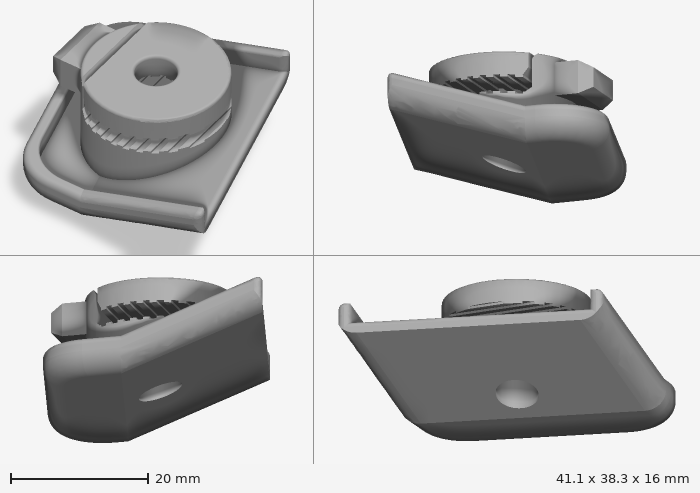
import cadquery as cq
import math

skew = math.radians(15)
tilt = math.radians(19.4)
drift = math.radians(0.86)
half_width = 19
fold_x = -5.46
left_x = fold_x - 12
right_x = 16.15
rim_height = 5.05
floor_height = 2
wall = 2
corner_radius = 8
bottom_radius = 3
outer_radius = 0.98
inner_radius = 0.4

tolerance = 0.01

post_radius = 11
bore_radius = 6.3 / 2
edge_radius = 0.5
top_z = 16
deck_z = 9.95
upright_x = -7.45
upright_lead_x = 0.6
upright_lead_z = 1
upright_foot = 1.15

cap_x = -7.05
cap_bottom_z = 12.45
cap_bevel_x = 0.7
cap_bevel_z = 1.25

tooth_height = 0.35
tooth_width = 1
tooth_pitch = 2
tooth_count = 9
first_tooth_x = -5.9

lug_tip_x = -15.45
lug_taper_length = 2
lug_taper = 1
lug_width = 10
lug_bottom_z = 10
lug_top_z = 15



def beyond_fold(point):
    """Distance in plan from the fold, positive to the right."""
    return (point.x - fold_x) * math.cos(skew) + point.y * math.sin(skew)


end_distance = (right_x - fold_x) * math.cos(skew)


def left_of_end(edge):
    """True for edges that do not lie on the right end."""
    return beyond_fold(edge.Center()) < end_distance - tolerance


def tray_prism(inset, right, bottom, top):
    """Parallelogram prism with rounded left corners, left end and sides moved in by inset."""
    half = half_width - inset
    left = left_x + inset / math.cos(skew)
    lean = half * math.tan(skew)
    corners = [(left - lean, half), (right - lean, half), (right + lean, -half), (left + lean, -half)]
    prism = cq.Workplane("XY").workplane(offset=bottom).polyline(corners).close().extrude(top - bottom)
    return prism.edges("|Z").filter(lambda edge: beyond_fold(edge.Center()) < 0).fillet(corner_radius)


def flat_tray():
    """Tray before folding."""
    blank = tray_prism(0, right_x, 0, rim_height)
    pocket = tray_prism(wall, right_x + wall, floor_height, rim_height)
    wall_middle = tray_prism(wall / 2, right_x + wall, 0, rim_height + wall).val()

    def on_inside(edge):
        return wall_middle.isInside(edge.positionAt(0.5))

    def on_outside(edge):
        return not on_inside(edge)

    def on_right_end(edge):
        return not left_of_end(edge) and edge.Center().z > floor_height / 2

    tray = blank.faces("<Z").edges().filter(left_of_end).fillet(bottom_radius).cut(pocket)
    tray = tray.edges(">Z").filter(left_of_end).filter(on_inside).fillet(inner_radius)

    envelope = blank.cut(pocket)
    rounded = envelope.edges().filter(on_right_end)
    rounded = rounded.add(envelope.edges(">Z").filter(left_of_end).filter(on_outside))
    return tray.intersect(rounded.fillet(outer_radius))


def fold(tray):
    """Slope everything right of the fold upward, with its sides drifting towards -Y."""
    reach = 4 * half_width
    right_half = (
        cq.Workplane("XY")
        .transformed(offset=(fold_x, 0, 0), rotate=(0, 0, math.degrees(skew)))
        .box(reach, 2 * reach, 2 * reach, centered=(False, True, True))
    )
    rise = math.tan(tilt)
    swing = -math.tan(drift) / math.cos(skew)
    along_x = math.cos(skew)
    along_y = math.sin(skew)
    start = -fold_x * along_x
    slope = cq.Matrix([
        [1, 0, 0, 0],
        [swing * along_x, 1 + swing * along_y, 0, swing * start],
        [rise * along_x, rise * along_y, 1, rise * start],
        [0, 0, 0, 1],
    ])
    panel = tray.intersect(right_half).val().transformGeometry(slope)
    return tray.cut(right_half).union(cq.Workplane(panel))


def bore_cutter():
    """Bore through everything, from below the tray to above the cap."""
    return cq.Workplane("XY").circle(bore_radius).extrude(top_z)


def teeth():
    """Bars running along Y in a row along X, hanging down from z = 0."""
    return [
        cq.Workplane("XY")
        .box(tooth_width, 2 * post_radius, tooth_height, centered=(True, True, False))
        .translate((first_tooth_x + index * tooth_pitch, 0, -tooth_height))
        for index in range(tooth_count)
    ]


def side_prism(points):
    """Outline in the XZ plane, extruded across the whole post."""
    return cq.Workplane("XZ").polyline(points).close().extrude(post_radius, both=True)


def post_disc(bottom):
    """Round stock of the post from a height up to the rounded top edge."""
    disc = cq.Workplane("XY").workplane(offset=bottom).circle(post_radius).extrude(top_z - bottom)
    return disc.faces(">Z").edges().fillet(edge_radius)


def lug():
    """Bar sticking out of the upright, tapered at its tip."""
    middle_z = (lug_bottom_z + lug_top_z) / 2
    height = lug_top_z - lug_bottom_z
    shoulder_x = lug_tip_x + lug_taper_length
    tip = (
        cq.Workplane("YZ", origin=(lug_tip_x, 0, middle_z))
        .rect(lug_width - 2 * lug_taper, height - 2 * lug_taper)
        .workplane(offset=lug_taper_length)
        .rect(lug_width, height)
        .loft()
    )
    bar = (
        cq.Workplane("YZ", origin=(shoulder_x, 0, middle_z))
        .rect(lug_width, height)
        .extrude(upright_x - upright_lead_x - shoulder_x)
    )
    return tip.union(bar)


def build_holder():
    """Folded tray with the post, its upright and the lug."""
    post = post_disc(0)
    groove_z = deck_z - tooth_height
    above_deck = side_prism([
        (upright_x - upright_lead_x, top_z),
        (upright_x, top_z - upright_lead_z),
        (upright_x, groove_z + upright_foot),
        (upright_x + upright_foot - tooth_height, deck_z),
        (post_radius, deck_z),
        (post_radius, top_z),
    ])
    post = post.cut(above_deck)
    for groove in teeth():
        post = post.cut(groove.translate((0, 0, deck_z)))
    under_floor = tray_prism(wall, right_x + wall, -half_width, floor_height / 2)
    post = post.cut(fold(under_floor))
    tray = fold(flat_tray())
    return tray.union(post).union(lug()).cut(bore_cutter())


def build_cap():
    """Round cap with a flat face beside the upright and teeth underneath."""
    stock = post_disc(cap_bottom_z - tooth_height)
    profile = side_prism([
        (cap_x, top_z),
        (cap_x, cap_bottom_z + cap_bevel_z),
        (cap_x + cap_bevel_x, cap_bottom_z),
        (post_radius, cap_bottom_z),
        (post_radius, top_z),
    ])
    for tooth in teeth():
        profile = profile.union(tooth.translate((0, 0, cap_bottom_z)))
    body = stock.intersect(profile).cut(bore_cutter())
    bore_edge = cq.selectors.RadiusNthSelector(0)
    return body.faces(">Z").edges("%CIRCLE").edges(bore_edge).fillet(edge_radius)


holder = build_holder()
cap = build_cap()
result = cq.Compound.makeCompound([*holder.solids().vals(), *cap.solids().vals()])